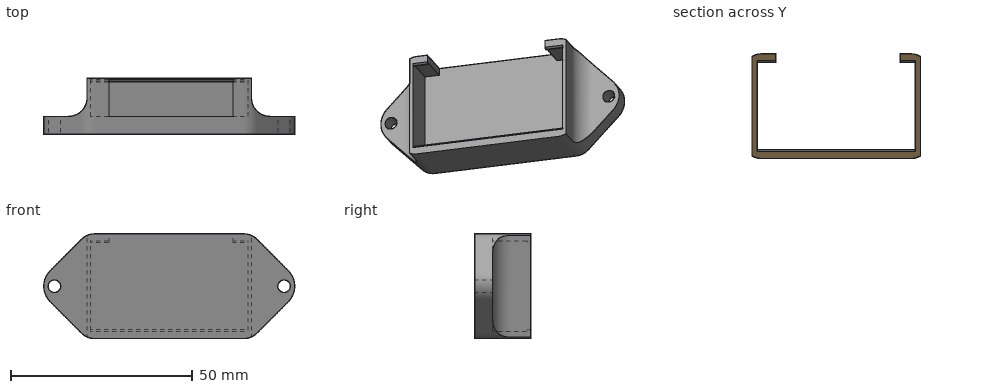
import cadquery as cq
import math

length = 69.2
depth = 15.5
height = 28.9

plate_thickness = 5.0
nose_radius = 6.0
corner_radius = 5.0
hole_diameter = 3.4
hole_spacing = 63.2

box_length = 45.4
blend_radius = 5.0

end_wall = 1.0
side_wall = 2.0
window_length = 34.2
window_offset = 0.5

bead_height = 0.5
bead_lead_in = 0.4
bead_flat = 0.4
bead_back = 0.2

cavity_length = box_length - 2 * end_wall
cavity_height = height - 2 * side_wall


def extrude_along_y(profile, distance):
    """Extrude a profile drawn on XZ towards +Y."""
    return profile.extrude(-distance)


def make_outline_prism():
    half_height = height / 2
    tip_x = length / 2 - nose_radius + nose_radius * math.sqrt(2)
    shoulder_x = tip_x - half_height
    outline = cq.Workplane("XZ").polyline([
        (tip_x, 0),
        (shoulder_x, half_height),
        (-shoulder_x, half_height),
        (-tip_x, 0),
        (-shoulder_x, -half_height),
        (shoulder_x, -half_height),
    ]).close()
    prism = extrude_along_y(outline, depth)
    noses = prism.edges("|Y").edges("<X or >X")
    prism = noses.fillet(nose_radius)
    shoulders = prism.edges("|Y").edges("<Z or >Z")
    return shoulders.fillet(corner_radius)


def make_stepped_profile():
    """Box on a plate, seen along Z, with concave quarter-round blends."""
    half_box = box_length / 2
    half_plate = length / 2
    blend_end_x = half_box + blend_radius
    blend_end_y = plate_thickness + blend_radius
    arc_offset = blend_radius * (1 - math.sqrt(0.5))
    arc_x = half_box + arc_offset
    arc_y = plate_thickness + arc_offset
    return (
        cq.Workplane("XY", origin=(0, 0, -height / 2))
        .moveTo(-half_plate, 0)
        .lineTo(half_plate, 0)
        .lineTo(half_plate, plate_thickness)
        .lineTo(blend_end_x, plate_thickness)
        .threePointArc((arc_x, arc_y), (half_box, blend_end_y))
        .lineTo(half_box, depth)
        .lineTo(-half_box, depth)
        .lineTo(-half_box, blend_end_y)
        .threePointArc((-arc_x, arc_y), (-blend_end_x, plate_thickness))
        .lineTo(-half_plate, plate_thickness)
        .close()
        .extrude(height)
    )


def make_cavity():
    section = cq.Workplane("XZ", origin=(0, plate_thickness, 0)).rect(cavity_length, cavity_height)
    return extrude_along_y(section, depth - plate_thickness)


def make_window():
    return cq.Workplane("XY").box(
        window_length, depth - plate_thickness, height, centered=(True, False, False)
    ).translate((window_offset, plate_thickness, 0))


def make_bottom_bead():
    wall_z = -cavity_height / 2
    crest_z = wall_z + bead_height
    crest_front_y = depth - bead_lead_in
    crest_back_y = crest_front_y - bead_flat
    return (
        cq.Workplane("YZ", origin=(-cavity_length / 2, 0, 0))
        .moveTo(depth, wall_z)
        .lineTo(crest_front_y, crest_z)
        .lineTo(crest_back_y, crest_z)
        .lineTo(crest_back_y - bead_back, wall_z)
        .close()
        .extrude(cavity_length)
    )


def make_holes():
    circles = (
        cq.Workplane("XZ")
        .pushPoints([(-hole_spacing / 2, 0), (hole_spacing / 2, 0)])
        .circle(hole_diameter / 2)
    )
    return extrude_along_y(circles, plate_thickness)


bottom_bead = make_bottom_bead()
top_bead = bottom_bead.mirror("XY")

result = (
    make_outline_prism()
    .intersect(make_stepped_profile())
    .cut(make_cavity())
    .union(bottom_bead)
    .union(top_bead)
    .cut(make_window())
    .cut(make_holes())
)